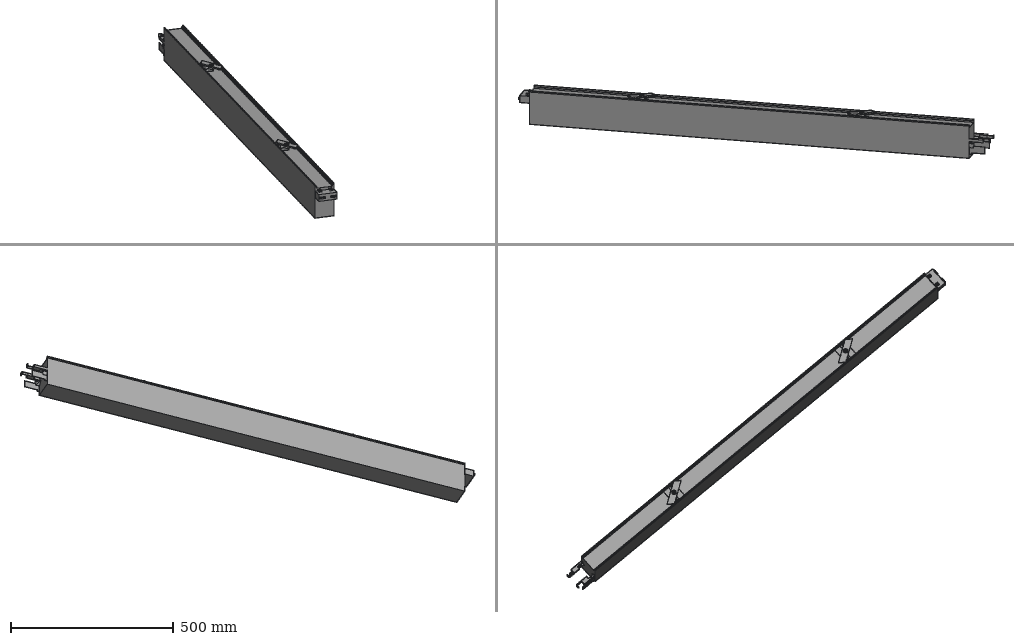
import cadquery as cq

total_length = 1500.0
width = 63.0
total_height = 113.0
half_width = width / 2

housing_start = 65.0
housing_end = 1464.0
housing_length = housing_end - housing_start
wall_top = 108.0
deck_height = 99.0
wall_thickness = 3.0
ledge_width = 3.0
ledge_height = 104.0
channel_half = half_width - wall_thickness - ledge_width

clamp_tip = (42.0, 15.0)
clamp_corner = (23.0, 29.0)
hub_diameter = 18.0
hub_recess_diameter = 14.0
hub_recess_depth = 2.0
hub_bore_diameter = 5.7
hub_bore_depth = 5.0
stop_length = 21.0
stop_height = 2.0
lug_length = 10.0
lug_width = 6.0
lug_center = (12.0, 21.0)

contact_bottom = 54.0
contact_height = 9.0
contact_inner = 17.0
tail_thickness = 6.0
jaw_start = 21.0
jaw_end = 44.0
finger_thickness = 2.3
finger_outer = 27.0
finger_radius = 5.0

blade_start = 15.0
blade_inset = 0.8
blade_bottom = 18.0
blade_top = 40.0
blade_thickness = 2.0
root_length = 15.0
root_bottom = 35.0
root_height = 14.0
root_inner = 18.0
foot_length = 8.0
foot_height = 5.0

plug_inset = 2.0
plug_end = 1495.0
plug_bottom = 68.0
plug_top = 90.0
nub_inner = 9.0
nub_outer = 27.0
nub_bottom = 77.0
nub_height = 5.0
latch_length = 14.0
latch_height = 5.0
latch_inner = 14.0
latch_width = 9.0
pin_diameter = 5.7


def box(x0, x1, y0, y1, z0, z1):
    """Box between two opposite corners."""
    return cq.Workplane("XY").box(x1 - x0, y1 - y0, z1 - z0, centered=False).translate((x0, y0, z0))


def both_sides(shape):
    """The shape together with its mirror image across the XZ plane."""
    return shape.union(shape.mirror("XZ"))


def make_housing():
    body = box(housing_start, housing_end, -half_width, half_width, 0, wall_top)
    upper_half = half_width - wall_thickness
    upper = box(housing_start, housing_end, -upper_half, upper_half, ledge_height, wall_top)
    lower = box(housing_start, housing_end, -channel_half, channel_half, deck_height, wall_top)
    return body.cut(upper).cut(lower)


def make_clamp(center_x):
    tip_x, tip_y = clamp_tip
    corner_x, corner_y = clamp_corner
    outline = [(tip_x, tip_y), (corner_x, corner_y), (-tip_x, -tip_y), (-corner_x, -corner_y)]
    clamp = cq.Workplane("XY").workplane(offset=wall_top).polyline(outline).close()
    clamp = clamp.extrude(total_height - wall_top)
    hub = cq.Workplane("XY").workplane(offset=deck_height).circle(hub_diameter / 2)
    clamp = clamp.union(hub.extrude(total_height - deck_height))

    stop = box(-stop_length, 0, 0, channel_half, deck_height, deck_height + stop_height)
    lug_x, lug_y = lug_center
    lug = box(lug_x - lug_length / 2, lug_x + lug_length / 2,
              lug_y - lug_width / 2, lug_y + lug_width / 2, deck_height, wall_top)
    for angle in (0, 180):
        clamp = clamp.union(stop.union(lug).rotate((0, 0, 0), (0, 0, 1), angle))

    bore = cq.Workplane("XY").workplane(offset=total_height - hub_bore_depth)
    clamp = clamp.cut(bore.circle(hub_bore_diameter / 2).extrude(hub_bore_depth))
    recess = cq.Workplane("XY").workplane(offset=total_height - hub_recess_depth)
    clamp = clamp.cut(recess.circle(hub_recess_diameter / 2).extrude(hub_recess_depth))
    return clamp.translate((center_x, 0, 0))


def make_upper_contacts():
    contact_top = contact_bottom + contact_height
    tail = box(jaw_start, housing_start, half_width - tail_thickness, half_width,
               contact_bottom, contact_top)
    jaw = box(jaw_start, jaw_end, contact_inner, half_width, contact_bottom, contact_top)
    finger = box(0, jaw_start, contact_inner, finger_outer, contact_bottom, contact_top)
    finger = finger.edges("|Z and <X and <Y").fillet(finger_radius)
    gap = box(finger_thickness, jaw_start, contact_inner + finger_thickness, finger_outer,
              contact_bottom, contact_top)
    return both_sides(tail.union(jaw).union(finger.cut(gap)))


def make_lower_blades():
    blade_outer = half_width - blade_inset
    blade_inner = blade_outer - blade_thickness
    blade = box(blade_start, housing_start, blade_inner, blade_outer, blade_bottom, blade_top)

    root_outline = [
        (blade_outer, root_bottom),
        (blade_inner, root_bottom),
        (root_inner, root_bottom + root_height),
        (blade_outer, root_bottom + root_height),
    ]
    root = cq.Workplane("YZ").workplane(offset=housing_start - root_length)
    root = root.polyline(root_outline).close().extrude(root_length)
    root_plan = [
        (housing_start - root_length, blade_outer),
        (housing_start, blade_outer),
        (housing_start, root_inner),
    ]
    plan = cq.Workplane("XY").polyline(root_plan).close().extrude(total_height)
    foot = box(housing_start - foot_length, housing_start, blade_inner, blade_outer,
               blade_bottom - foot_height, blade_bottom)
    return both_sides(blade.union(root.intersect(plan)).union(foot))


def make_plug():
    plug_half = half_width - plug_inset
    plug = box(housing_end, plug_end, -plug_half, plug_half, plug_bottom, plug_top)
    nub = box(plug_end, total_length, nub_inner, nub_outer, nub_bottom, nub_bottom + nub_height)
    latch = box(housing_end, housing_end + latch_length, latch_inner, latch_inner + latch_width,
                plug_top, plug_top + latch_height)
    pin_hole = cq.Workplane("XY").workplane(offset=plug_top)
    pin_hole = pin_hole.center(housing_end + latch_length / 2, latch_inner + latch_width / 2)
    latch = latch.cut(pin_hole.circle(pin_diameter / 2).extrude(latch_height))
    return plug.union(both_sides(nub.union(latch)))


result = make_housing()
for fraction in (0.25, 0.75):
    result = result.union(make_clamp(housing_start + fraction * housing_length))
result = result.union(make_upper_contacts())
result = result.union(make_lower_blades())
result = result.union(make_plug())